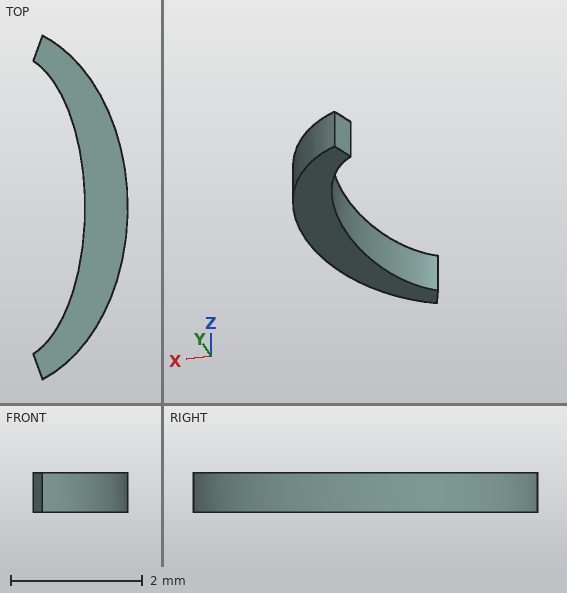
import cadquery as cq
import math

length = 5.23
thickness = 0.6

outer_radius_x = 1.99
outer_radius_y = 2.79

wall_width = 0.655
inner_radius_x = 1.11
inner_radius_y = 2.325
inner_center_x = outer_radius_x - wall_width - inner_radius_x

end_angle = math.radians(70)

tip_y = length / 2
tip_x = outer_radius_x * math.sqrt(1 - (tip_y / outer_radius_y) ** 2)
apex_x = tip_x - tip_y / math.tan(end_angle)


def elliptic_disc(center_x, radius_x, radius_y):
    return (
        cq.Workplane("XY")
        .center(center_x, 0)
        .ellipse(radius_y, radius_x, rotation_angle=90)
        .extrude(thickness)
    )


def end_wedge():
    reach_x = 2 * outer_radius_x
    reach_y = reach_x * math.tan(end_angle)
    return (
        cq.Workplane("XY")
        .moveTo(apex_x, 0)
        .lineTo(apex_x + reach_x, reach_y)
        .lineTo(apex_x + reach_x, -reach_y)
        .close()
        .extrude(thickness)
    )


outer_disc = elliptic_disc(0, outer_radius_x, outer_radius_y)
inner_disc = elliptic_disc(inner_center_x, inner_radius_x, inner_radius_y)
result = end_wedge().intersect(outer_disc).cut(inner_disc)